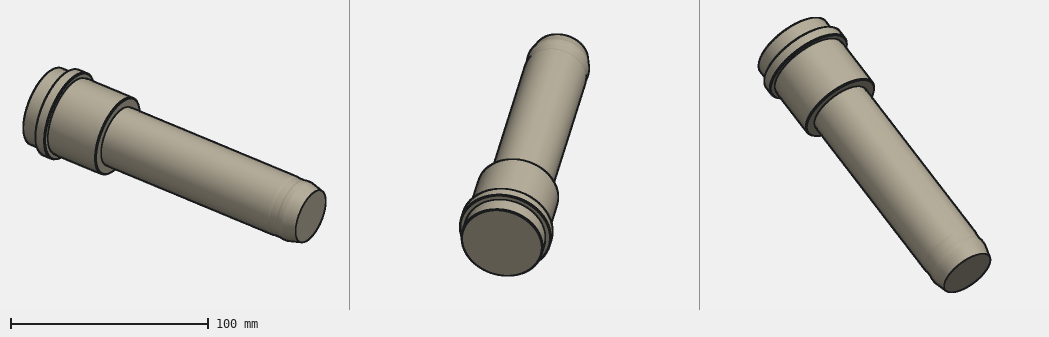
import math

import cadquery as cq

total_length = 160.0
flange_start = 9.0
flange_end = 15.0
head_straight_end = 38.7
head_end = 44.0
groove_start = 144.5
groove_end = 150.4
lead_in_length = 7.0

shank_diameter = 32.0
head_diameter = 42.0
flange_diameter = 47.0

edge_chamfer = 0.51
ramp_angle = math.radians(15)
ramp_length = 1.0
head_end_relief = 0.08
shank_root_length = 0.5

shank_radius = shank_diameter / 2
head_radius = head_diameter / 2
flange_radius = flange_diameter / 2
head_end_radius = head_radius - head_end_relief
ramp_depth = ramp_length * math.tan(ramp_angle)
relief_radius = head_radius - ramp_depth
groove_radius = shank_radius - ramp_depth
shank_root_radius = shank_radius - shank_root_length * math.tan(ramp_angle)
lead_in_start = total_length - lead_in_length
tip_radius = shank_radius - lead_in_length * math.tan(ramp_angle)


front_outline = [
    (0, 0),
    (0, head_radius - edge_chamfer),
    (edge_chamfer, head_radius),
    (flange_start - ramp_length, head_radius),
    (flange_start, relief_radius),
]

flange_outline = [
    (flange_start, flange_radius - edge_chamfer),
    (flange_start + edge_chamfer, flange_radius),
    (flange_end - edge_chamfer, flange_radius),
    (flange_end, flange_radius - edge_chamfer),
]

head_outline = [
    (flange_end, relief_radius),
    (flange_end + ramp_length, head_radius),
    (head_straight_end, head_radius),
    (head_end - edge_chamfer, head_end_radius),
    (head_end, head_end_radius - edge_chamfer),
]

shank_outline = [
    (head_end, shank_root_radius),
    (head_end + shank_root_length, shank_radius),
    (groove_start, shank_radius),
    (groove_start + ramp_length, groove_radius),
    (groove_end - ramp_length, groove_radius),
    (groove_end, shank_radius),
    (lead_in_start, shank_radius),
    (total_length, tip_radius),
    (total_length, 0),
]

half_profile = front_outline + flange_outline + head_outline + shank_outline
result = cq.Workplane("XY").polyline(half_profile).close().revolve(360, (0, 0, 0), (1, 0, 0))